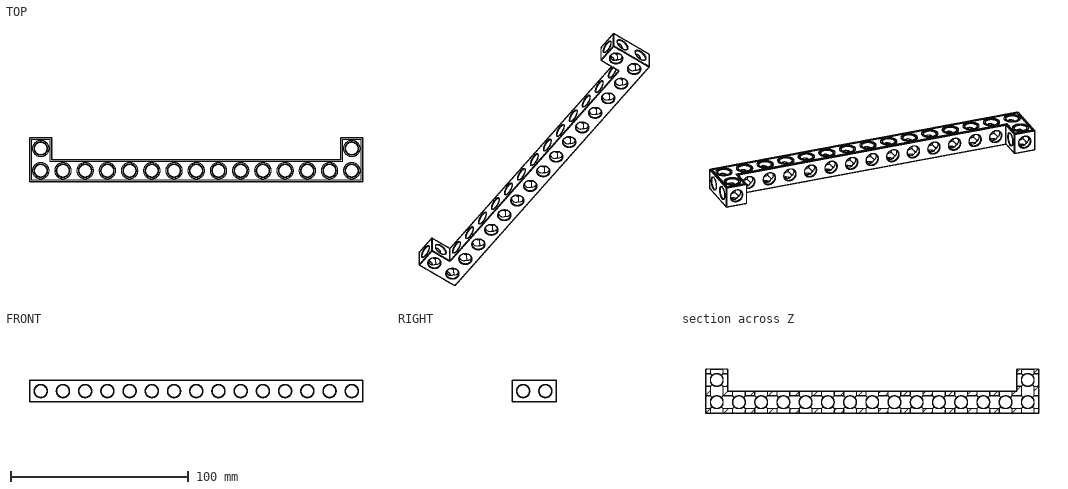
import cadquery as cq

pitch = 12.5
cells_long = 15
cells_arm = 2
hole_d = 7.0
bevel = 0.3
border = 1.1
recess_depth = 0.2

length = cells_long * pitch
width = cells_arm * pitch
x_left = -length / 2
x_right = length / 2
y_front = -width / 2
y_back = width / 2
z_bottom = -pitch / 2
z_top = pitch / 2
last_column = cells_long - 1
collar_d = hole_d + 2 * border


def cell_x(column):
    """X of the cell centres in a column."""
    return x_left + (column + 0.5) * pitch


def cell_y(row):
    """Y of the cell centres in a row."""
    return y_front + (row + 0.5) * pitch


def hole_places():
    """Cell centres of the U: the whole front row plus the end cells of the other rows."""
    places = [(cell_x(column), cell_y(0)) for column in range(cells_long)]
    for row in range(1, cells_arm):
        places += [(cell_x(0), cell_y(row)), (cell_x(last_column), cell_y(row))]
    return places


def u_outline(inset, z):
    """U-shaped outline at height z, moved inwards by inset on every side."""
    inner_side = pitch - inset
    corners = [
        (x_left + inset, y_front + inset),
        (x_right - inset, y_front + inset),
        (x_right - inset, y_back - inset),
        (x_right - inner_side, y_back - inset),
        (x_right - inner_side, y_front + inner_side),
        (x_left + inner_side, y_front + inner_side),
        (x_left + inner_side, y_back - inset),
        (x_left + inset, y_back - inset),
    ]
    return cq.Workplane("XY").workplane(offset=z).polyline(corners).close()


def make_body():
    """U-shaped bar, one cell thick, bevelled on its vertical corners and around its top and bottom."""
    body = u_outline(0, z_bottom).extrude(pitch)
    body = body.edges("|Z").chamfer(bevel)
    return body.faces("|Z").edges().chamfer(bevel)


def make_recess():
    """Shallow recess in the top face that leaves a collar around every Z hole."""
    floor = z_top - recess_depth
    recess = u_outline(border, floor).extrude(recess_depth)
    collars = (
        cq.Workplane("XY")
        .workplane(offset=floor)
        .pushPoints(hole_places())
        .circle(collar_d / 2)
        .extrude(recess_depth)
    )
    return recess.cut(collars)


def make_hole(start, direction, depth):
    """Through-hole cutter with a bevel at both mouths."""
    near = cq.Vector(*start)
    axis = cq.Vector(*direction)
    far = near + axis * depth
    radius = hole_d / 2
    bore = cq.Solid.makeCylinder(radius, depth, near, axis)
    near_rim = cq.Solid.makeCone(radius + bevel, radius, bevel, near, axis)
    far_rim = cq.Solid.makeCone(radius + bevel, radius, bevel, far, axis * -1)
    return [bore, near_rim, far_rim]


def make_holes():
    """Cutters for the holes along Z (every cell), Y (every column) and X (every row)."""
    cutters = []
    for x, y in hole_places():
        cutters += make_hole((x, y, z_bottom), (0, 0, 1), pitch)
    for column in range(cells_long):
        depth = width if column in (0, last_column) else pitch
        cutters += make_hole((cell_x(column), y_front, 0), (0, 1, 0), depth)
    cutters += make_hole((x_left, cell_y(0), 0), (1, 0, 0), length)
    for row in range(1, cells_arm):
        for x in (x_left, x_right - pitch):
            cutters += make_hole((x, cell_y(row), 0), (1, 0, 0), pitch)
    return cutters


solid = make_body().cut(make_recess()).val().cut(*make_holes())
result = cq.Workplane("XY").newObject([solid])